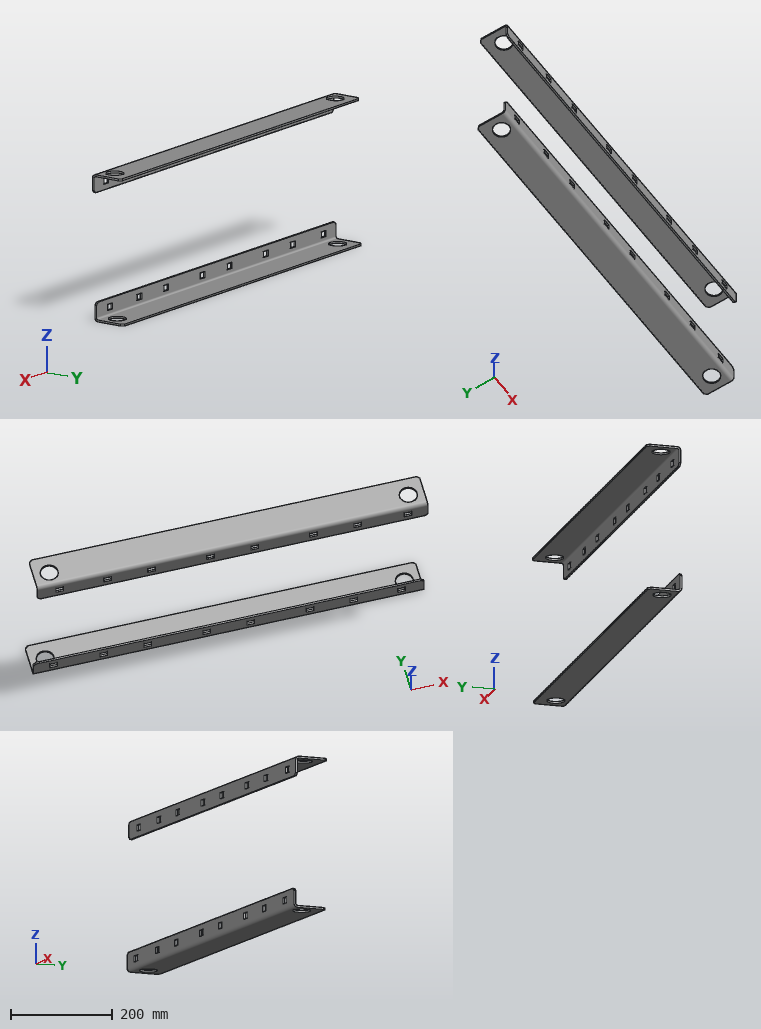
import cadquery as cq

overall_length = 800.0
overall_height = 300.0
end_stagger = 8.0
rail_length = overall_length - end_stagger

flange_depth = 69.0
wall_height = 38.0
thickness = 4.0
outer_bend_radius = 8.0
inner_bend_radius = outer_bend_radius - thickness
corner_chamfer = 6.0

slot_width = 15.0
slot_height = 12.0
slot_drop = 21.0
slot_offsets = [-350.0, -254.0, -165.0, -45.0, 45.0, 164.0, 254.0, 355.0]

hole_diameter = 35.0
hole_end_distance = 32.0
hole_front_distance = 31.0

rail_middle_x = end_stagger + rail_length / 2
flange_top = overall_height
wall_bottom = flange_top - wall_height


def angle_section():
    """Constant-thickness angle with the flange on top and the wall in front."""
    flange_underside = flange_top - thickness
    section = (
        cq.Workplane("YZ", origin=(end_stagger, 0, 0))
        .moveTo(0, wall_bottom)
        .lineTo(0, flange_top - outer_bend_radius)
        .radiusArc((outer_bend_radius, flange_top), outer_bend_radius)
        .lineTo(flange_depth, flange_top)
        .lineTo(flange_depth, flange_underside)
        .lineTo(outer_bend_radius, flange_underside)
        .radiusArc((thickness, flange_underside - inner_bend_radius), -inner_bend_radius)
        .lineTo(thickness, wall_bottom)
        .close()
    )
    return section.extrude(rail_length)


def chamfer_free_corners(rail):
    """Chamfer the end corners on the free edges of the flange and the wall."""
    rail = rail.faces(">Y").edges("|Z").chamfer(corner_chamfer)
    return rail.faces("<Z").edges("|Y").chamfer(corner_chamfer)


def wall_slots():
    centres = [(rail_middle_x + offset, flange_top - slot_drop) for offset in slot_offsets]
    return (
        cq.Workplane("XZ")
        .pushPoints(centres)
        .rect(slot_width, slot_height)
        .extrude(-thickness)
    )


def flange_holes():
    centres = [
        (end_stagger + hole_end_distance, hole_front_distance),
        (overall_length - hole_end_distance, hole_front_distance),
    ]
    return (
        cq.Workplane("XY", origin=(0, 0, flange_top))
        .pushPoints(centres)
        .circle(hole_diameter / 2)
        .extrude(-thickness)
    )


def make_rail():
    """Build one rail in the upper position."""
    rail = chamfer_free_corners(angle_section())
    return rail.cut(wall_slots()).cut(flange_holes())


middle_front = (overall_length / 2, 0, overall_height / 2)
middle_back = (overall_length / 2, flange_depth, overall_height / 2)
rails = []
for turn in (0, 180):
    rails.append(make_rail().rotate(middle_front, middle_back, turn).val())

result = cq.Compound.makeCompound(rails)